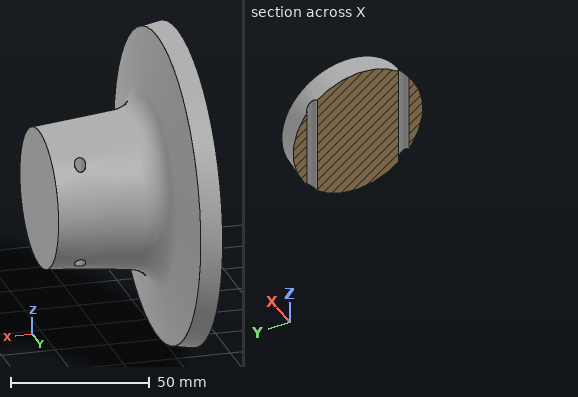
import cadquery as cq

face_radius = 59.5
rim_radius = 58.1
rim_width = 7.9

blend_start_x = 11.2
blend_start_radius = 37.6
blend_end_x = 19.8
blend_end_radius = 29.2

length = 52.0
hub_end_radius = 26.0

hole_diameter = 4.0
hole_x = 42.0
hole_offset_y = 18.9


def turned_body():
    """Revolve the half profile (X along the axis, Z as radius) about X."""
    return (
        cq.Workplane("XZ")
        .moveTo(0, 0)
        .lineTo(0, face_radius)
        .lineTo(rim_width, rim_radius)
        .lineTo(blend_start_x, blend_start_radius)
        .tangentArcPoint((blend_end_x, blend_end_radius), relative=False)
        .lineTo(length, hub_end_radius)
        .lineTo(length, 0)
        .close()
        .revolve(360, (0, 0, 0), (1, 0, 0))
    )


def cross_holes():
    """Cutters long enough to pass through the hub along Z."""
    return (
        cq.Workplane("XY")
        .pushPoints([(hole_x, -hole_offset_y), (hole_x, hole_offset_y)])
        .circle(hole_diameter / 2)
        .extrude(blend_end_radius, both=True)
    )


result = turned_body().cut(cross_holes())